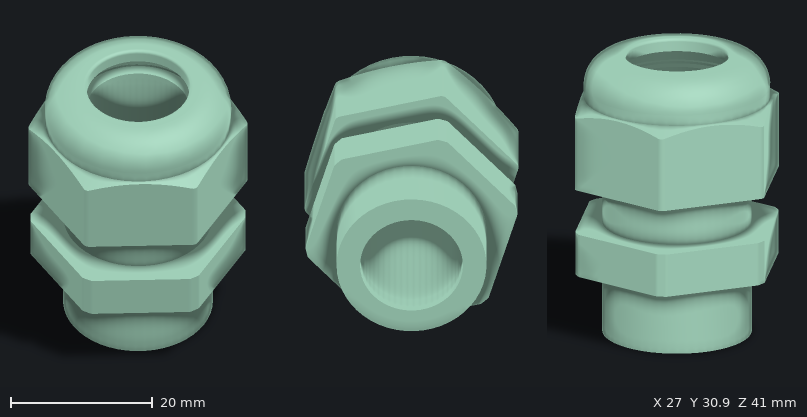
import cadquery as cq
import math

total_height = 41.0
dome_bottom = 36.25
collar_bottom = 34.73
nut_bottom = 22.75
flange_top = 16.25
flange_bottom = 9.95
lip_bottom = 39.07
body_top = 37.05
seat_floor = 36.75

across_flats = 27.0
bore_radius = 7.25
barrel_radius = 10.58

nut_corner_radius = 1.0
cone_slope = 30.0
collar_radius = 13.15
dome_flat_radius = 8.77
lip_fillet = 0.5

flange_corner_radius = 1.8
flange_across_corners = 30.4
flange_blend_radius = 0.8
seat_radius = 8.85
rim_fillet = 1.25


def hex_prism(flat_width, bottom, top):
    """Hexagonal prism about Z with corners on the Y axis."""
    corner_diameter = flat_width * 2 / math.sqrt(3)
    return (
        cq.Workplane("XY", origin=(0, 0, bottom))
        .polygon(6, corner_diameter)
        .extrude(top - bottom)
        .rotate((0, 0, 0), (0, 0, 1), 30)
    )


def cylinder(radius, bottom, top):
    """Solid cylinder about Z between two heights."""
    return cq.Workplane("XY", origin=(0, 0, bottom)).circle(radius).extrude(top - bottom)


def nut_envelope():
    """Turned outside of the nut: dome, collar, and the cone that bevels the hexagon corners."""
    cone_radius = across_flats
    cone_drop = (cone_radius - collar_radius) * math.tan(math.radians(cone_slope))
    return (
        cq.Workplane("XZ")
        .moveTo(0, total_height)
        .lineTo(dome_flat_radius, total_height)
        .tangentArcPoint((collar_radius, dome_bottom), relative=False)
        .lineTo(collar_radius, collar_bottom)
        .lineTo(cone_radius, collar_bottom - cone_drop)
        .lineTo(cone_radius, 0)
        .lineTo(0, 0)
        .close()
        .revolve(360, (0, 0, 0), (0, 1, 0))
    )


def make_cap_nut():
    """Domed hexagonal nut, hollow below an inward lip with a rounded mouth."""
    hexagon = hex_prism(across_flats, nut_bottom, total_height).edges("|Z").fillet(nut_corner_radius)
    nut = hexagon.intersect(nut_envelope())
    nut = nut.cut(cylinder(barrel_radius, nut_bottom, lip_bottom))
    nut = nut.cut(cylinder(bore_radius, lip_bottom, total_height))
    lip_edge = cq.selectors.RadiusNthSelector(0)
    return nut.faces(">Z").edges(lip_edge).fillet(lip_fillet)


def make_flange():
    """Hexagonal flange whose rounded corners are cut flat, with the edges of each cut blended."""
    flange = hex_prism(across_flats, flange_bottom, flange_top).edges("|Z").fillet(flange_corner_radius)
    corner_cutter = hex_prism(flange_across_corners, flange_bottom, flange_top)
    flange = flange.intersect(corner_cutter.rotate((0, 0, 0), (0, 0, 1), 30))
    cut_reach = flange_across_corners / 2
    cut_edges = flange.edges("|Z").filter(
        lambda edge: math.hypot(edge.Center().x, edge.Center().y) > cut_reach
    )
    return cut_edges.fillet(flange_blend_radius)


def make_gland_body():
    """Hollow barrel with a rounded top rim, a shallow seal seat and a hexagonal flange."""
    barrel = cylinder(barrel_radius, 0, body_top).faces(">Z").edges().fillet(rim_fillet)
    body = barrel.union(make_flange())
    body = body.cut(cylinder(seat_radius, seat_floor, body_top))
    return body.cut(cylinder(bore_radius, 0, body_top))


cap_nut = make_cap_nut()
gland_body = make_gland_body()
result = cq.Compound.makeCompound([cap_nut.val(), gland_body.val()])